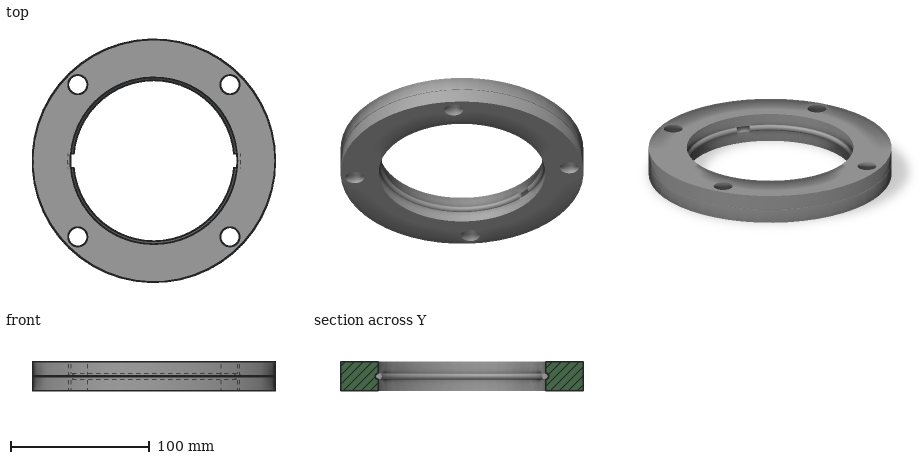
import cadquery as cq

outer_diameter = 175.0
bore_diameter = 120.0
thickness = 21.0
bore_radius = bore_diameter / 2

rim_groove_width = 0.5
rim_groove_depth = 0.4

bead_diameter = 4.4
bead_gap = 10.0

bolt_hole_diameter = 13.6
bolt_spacing = 109.5


def make_bead_ring():
    """Ring of round section centred on the bore wall at mid-thickness."""
    section = cq.Workplane("XZ").center(bore_radius, 0).circle(bead_diameter / 2)
    return section.revolve(360, (-bore_radius, 0, 0), (-bore_radius, 1, 0))


def make_flange():
    disc = cq.Workplane("XY").circle(outer_diameter / 2).circle(bore_radius)
    return disc.extrude(thickness / 2, both=True)


def make_rim_groove():
    groove_floor_radius = outer_diameter / 2 - rim_groove_depth
    band = cq.Workplane("XY").circle(outer_diameter / 2).circle(groove_floor_radius)
    return band.extrude(rim_groove_width / 2, both=True)


def make_bead():
    gap = cq.Workplane("XY").box(outer_diameter, bead_gap, thickness)
    return make_bead_ring().cut(gap)


def make_bolt_holes():
    holes = cq.Workplane("XY").rect(bolt_spacing, bolt_spacing, forConstruction=True).vertices()
    return holes.circle(bolt_hole_diameter / 2).extrude(thickness, both=True)


flange = make_flange().cut(make_rim_groove()).cut(make_bead_ring())
result = flange.union(make_bead()).cut(make_bolt_holes())